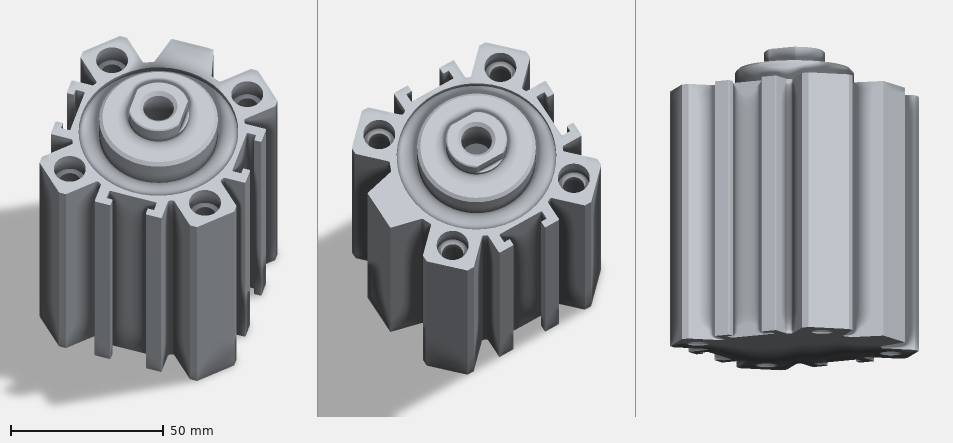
import cadquery as cq
import math

housing_height = 84.9
collar_height = 8.0
rod_projection = 6.0
collar_top = housing_height + collar_height
rod_top = collar_top + rod_projection

profile_width = 67.0
profile_depth = 71.0
half_width = profile_width / 2
barrel_radius = 28.5
notch_fillet = 0.7

lug_width = 17.2
lug_end_distance = 40.5
bolt_offset = 23.3
bolt_diameter = 7.0
counterbore_diameter = 10.5
counterbore_depth = 7.0

rail_width = 23.1
slot_width = 16.3
slot_opening = 12.1
slot_depth = 5.6
lip_thickness = 2.5
rail_edge_fillet = 0.25
rail_directions = (180, 270, 360)

match_tolerance = 0.01

rib_top = profile_depth - half_width
rib_top_width = 14.6
rib_taper = 13.7

recess_diameter = 52.5
recess_depth = 2.0
collar_diameter = 39.0
collar_chamfer = 1.1

rod_diameter = 20.0
rod_engagement = 29.7
rod_chamfer = 0.4
flat_spacing = 17.2
flat_height = 4.8
rod_hole_diameter = 10.1
rod_hole_depth = 15.0
rod_hole_chamfer = 1.2


def profile_box(start, end, width, direction):
    """Full-height block reaching from start to end along a direction given in degrees."""
    block = cq.Workplane("XY").box(end - start, width, housing_height, centered=(False, True, False))
    return block.translate((start, 0, 0)).rotate((0, 0, 0), (0, 0, 1), direction)


def make_lugs():
    """Four diagonal lugs with their outer corners trimmed to the square envelope."""
    lugs = profile_box(-lug_end_distance, lug_end_distance, lug_width, 45)
    lugs = lugs.union(profile_box(-lug_end_distance, lug_end_distance, lug_width, 135))
    envelope = cq.Workplane("XY").rect(profile_width, profile_width).extrude(housing_height)
    return lugs.intersect(envelope)


def make_rib():
    """Rib that narrows from the barrel towards its flat outer face."""
    base_width = rib_top_width + 2 * rib_top * math.tan(math.radians(rib_taper))
    return (
        cq.Workplane("XY")
        .polyline([
            (-base_width / 2, 0),
            (base_width / 2, 0),
            (rib_top_width / 2, rib_top),
            (-rib_top_width / 2, rib_top),
        ])
        .close()
        .extrude(housing_height)
    )


def make_t_slot(direction):
    """Cutter for a T-slot: a wide channel behind a narrower opening."""
    floor = half_width - slot_depth
    channel = profile_box(floor, half_width - lip_thickness, slot_width, direction)
    opening = profile_box(floor, half_width, slot_opening, direction)
    return channel.union(opening)


def is_notch_edge(edge):
    """True for the vertical edges where a lug, rail or rib meets the barrel."""
    center = edge.Center()
    return abs(math.hypot(center.x, center.y) - barrel_radius) < match_tolerance


def is_rail_edge(edge):
    """True for the outer corners of the rails and the floor corners of their T-slots."""
    center = edge.Center()
    sideways, outward = sorted((abs(center.x), abs(center.y)))
    on_rail = sideways < rail_width / 2 + match_tolerance
    on_face = abs(outward - half_width) < match_tolerance
    on_slot_floor = abs(outward - (half_width - slot_depth)) < match_tolerance
    return on_rail and (on_face or on_slot_floor)


def make_profile():
    """Extruded barrel with lugs, rib, slotted rails and rounded notches."""
    profile = cq.Workplane("XY").circle(barrel_radius).extrude(housing_height)
    profile = profile.union(make_lugs()).union(make_rib())
    for direction in rail_directions:
        profile = profile.union(profile_box(0, half_width, rail_width, direction))
    profile = profile.edges("|Z").filter(is_notch_edge).fillet(notch_fillet)
    for direction in rail_directions:
        profile = profile.cut(make_t_slot(direction))
    return profile.edges("|Z").filter(is_rail_edge).fillet(rail_edge_fillet)


def make_housing():
    """Profile with end recess, collar, mounting holes and the rod bore."""
    recess_floor = housing_height - recess_depth
    recess = (
        cq.Workplane("XY", origin=(0, 0, recess_floor))
        .circle(recess_diameter / 2)
        .extrude(recess_depth)
    )
    collar = (
        cq.Workplane("XY", origin=(0, 0, recess_floor))
        .circle(collar_diameter / 2)
        .extrude(recess_depth + collar_height)
        .faces(">Z")
        .chamfer(collar_chamfer)
    )
    mounting_holes = (
        cq.Workplane("XY", origin=(0, 0, housing_height))
        .rect(2 * bolt_offset, 2 * bolt_offset, forConstruction=True)
        .vertices()
    )
    bolt_holes = mounting_holes.circle(bolt_diameter / 2).extrude(-housing_height)
    counterbores = mounting_holes.circle(counterbore_diameter / 2).extrude(-counterbore_depth)
    rod_bore = (
        cq.Workplane("XY", origin=(0, 0, collar_top))
        .circle(rod_diameter / 2)
        .extrude(-rod_engagement)
    )
    housing = make_profile().cut(recess).union(collar)
    return housing.cut(bolt_holes).cut(counterbores).cut(rod_bore)


def make_rod():
    """Piston rod with two wrench flats and a countersunk blind hole in its end."""
    rod = (
        cq.Workplane("XY", origin=(0, 0, collar_top - rod_engagement))
        .circle(rod_diameter / 2)
        .extrude(rod_engagement + rod_projection)
        .faces(">Z")
        .chamfer(rod_chamfer)
    )
    flat_end = cq.Workplane("XY", origin=(0, 0, rod_top - flat_height))
    around_flats = flat_end.rect(2 * rod_diameter, 2 * rod_diameter).extrude(flat_height)
    between_flats = flat_end.rect(flat_spacing, 2 * rod_diameter).extrude(flat_height)
    flat_cutter = around_flats.cut(between_flats)
    hole = (
        cq.Workplane("XY", origin=(0, 0, rod_top))
        .circle(rod_hole_diameter / 2)
        .extrude(-rod_hole_depth)
    )
    countersink = cq.Workplane("XY").add(
        cq.Solid.makeCone(
            rod_hole_diameter / 2,
            rod_hole_diameter / 2 + rod_hole_chamfer,
            rod_hole_chamfer,
            pnt=cq.Vector(0, 0, rod_top - rod_hole_chamfer),
        )
    )
    return rod.cut(flat_cutter).cut(hole).cut(countersink)


housing = make_housing()
rod = make_rod()

result = cq.Compound.makeCompound([housing.val(), rod.val()])